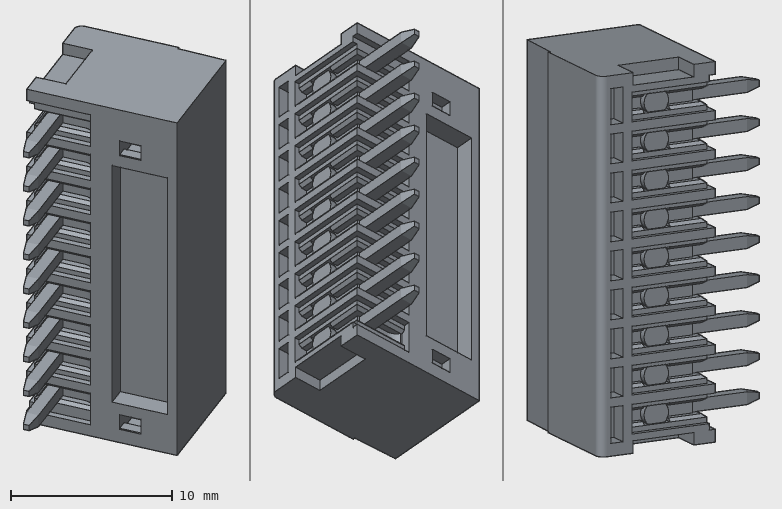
import cadquery as cq


width = 10.1
depth = 8.1
height = 24.4
edge_radius = 0.51
back_step_x = 6.83
back_step = 0.15
back_taper_end = 0.25

contact_count = 9
row_span = 20.0
pitch = row_span / (contact_count - 1)
contact_heights = [i * pitch - row_span / 2 for i in range(contact_count)]

chamber_x = 4.27
chamber_y = 5.83
recess_half = 0.95
end_recess_half = 1.37
side_recess = 0.35
front_recess = 0.41
slot_half = 0.41
funnel_rise = 0.2
funnel_depth = 0.25
mouth_half = slot_half + funnel_rise
floor_x = 0.98
floor_y = 1.07
floor_radius = 0.83

boss_y = 3.88
boss_radius = 0.85
boss_clearance = 0.05
boss_top_x = 0.5

window_y = 6.47
window_length = 0.85
window_depth = 1.22

pin_width = 2 * slot_half
pin_x = 1.55
pin_reach = 3.8
pin_taper = 0.98
pin_tip_width = 0.4

notch_x = 2.0
notch_y = 1.51
notch_length = 4.25
notch_depth = 0.8

label_x = 5.73
label_width = 3.7
label_bottom = -9.35
label_height = 17.35
label_depth = 1.32

latch_x = 6.22
latch_width = 1.45
latch_height = 1.02
latch_depth = 0.75
latch_bottoms = [-11.18, 8.9]
latch_drop = 0.35
latch_chamfer = 0.05
latch_pocket_width = 2.45
latch_pocket_end = 1.95


def block(x0, x1, y0, y1, z0, z1):
    return cq.Workplane("XY").box(x1 - x0, y1 - y0, z1 - z0, centered=False).translate((x0, y0, z0))


def make_housing():
    outline = (
        cq.Workplane("XY")
        .workplane(offset=-height / 2)
        .polyline([
            (0, 0),
            (width, 0),
            (width, depth - back_taper_end),
            (back_step_x, depth - back_step),
            (back_step_x, depth),
            (0, depth),
        ])
        .close()
    )
    return outline.extrude(height).edges("|Z and <X and >Y").fillet(edge_radius)


def extents(z):
    """Bottom and top of a recess at height z; the first and last contacts reach further out."""
    bottom = end_recess_half if z == contact_heights[0] else recess_half
    top = end_recess_half if z == contact_heights[-1] else recess_half
    return z - bottom, z + top


def funnel_points(mouth, z):
    """Trapezoid that narrows from the mouth of a slot to its inner width."""
    throat = mouth + funnel_depth
    return [
        (mouth, z + mouth_half),
        (throat, z + slot_half),
        (throat, z - slot_half),
        (mouth, z - mouth_half),
    ]


def make_chamber(z):
    bottom, top = extents(z)
    side = block(0, side_recess, 0, chamber_y, z - recess_half, z + recess_half)
    front = block(0, chamber_x, 0, front_recess, bottom, top)

    slot_outline = (
        cq.Workplane("XY")
        .workplane(offset=z - slot_half)
        .polyline([
            (0, 0),
            (chamber_x, 0),
            (chamber_x, floor_y),
            (floor_x, floor_y),
            (floor_x, chamber_y),
            (0, chamber_y),
        ])
        .close()
    )
    slot = slot_outline.extrude(2 * slot_half)
    floor_corner = cq.selectors.NearestToPointSelector((chamber_x, floor_y, z))
    slot = slot.edges(floor_corner).fillet(floor_radius)
    front_points = funnel_points(front_recess, z)
    side_points = funnel_points(side_recess, z)
    front_funnel = cq.Workplane("YZ").polyline(front_points).close().extrude(chamber_x)
    side_funnel = cq.Workplane("XZ").polyline(side_points).close().extrude(-chamber_y)
    return side.union(front).union(slot).union(front_funnel).union(side_funnel)


def make_boss_bay(reach, x0, z):
    """Straight-sided bay that widens the slot around a contact face."""
    return block(x0, floor_x, boss_y - reach, boss_y + reach, z - mouth_half, z + mouth_half)


def make_boss(z):
    """Disc along X, trimmed flat above and below to the mouth of the slot."""
    disc = (
        cq.Workplane("YZ", origin=(boss_top_x, boss_y, z))
        .circle(boss_radius)
        .extrude(floor_x - boss_top_x)
    )
    return disc.intersect(make_boss_bay(boss_radius, boss_top_x, z))


def make_pin(z):
    half = pin_width / 2
    shank_end = pin_taper - pin_reach
    shank = block(pin_x - half, pin_x + half, shank_end, floor_y, z - half, z + half)
    tip = (
        cq.Workplane("XZ", origin=(pin_x, shank_end, z))
        .rect(pin_width, pin_width)
        .workplane(offset=pin_taper)
        .rect(pin_tip_width, pin_tip_width)
        .loft(ruled=True)
    )
    return shank.union(tip)


def make_latch_opening(z):
    """Opening over a lower, wider pocket, with a small chamfer on both lips."""
    pocket_top = z + latch_height - latch_drop
    profile = [
        (0, z + latch_height),
        (latch_depth, z + latch_height),
        (latch_depth, pocket_top + latch_chamfer),
        (latch_depth + latch_chamfer, pocket_top),
        (latch_depth + latch_chamfer, z),
        (latch_chamfer, z),
        (0, z - latch_chamfer),
    ]
    opening = cq.Workplane("YZ", origin=(latch_x, 0, 0)).polyline(profile).close().extrude(latch_width)
    pocket = block(
        latch_x,
        latch_x + latch_pocket_width,
        latch_depth,
        latch_pocket_end,
        z - latch_drop,
        pocket_top,
    )
    return opening.union(pocket)


result = make_housing()

for z in contact_heights:
    bottom, top = extents(z)
    result = result.cut(make_chamber(z))
    result = result.cut(block(0, window_depth, window_y, window_y + window_length, bottom, top))
    result = result.cut(make_boss_bay(boss_radius + boss_clearance, side_recess, z))
    result = result.union(make_boss(z))
    result = result.union(make_pin(z))

for z in (-height / 2, height / 2 - notch_depth):
    result = result.cut(block(0, notch_x, notch_y, notch_y + notch_length, z, z + notch_depth))

result = result.cut(
    block(label_x, label_x + label_width, 0, label_depth, label_bottom, label_bottom + label_height)
)

for z in latch_bottoms:
    result = result.cut(make_latch_opening(z))